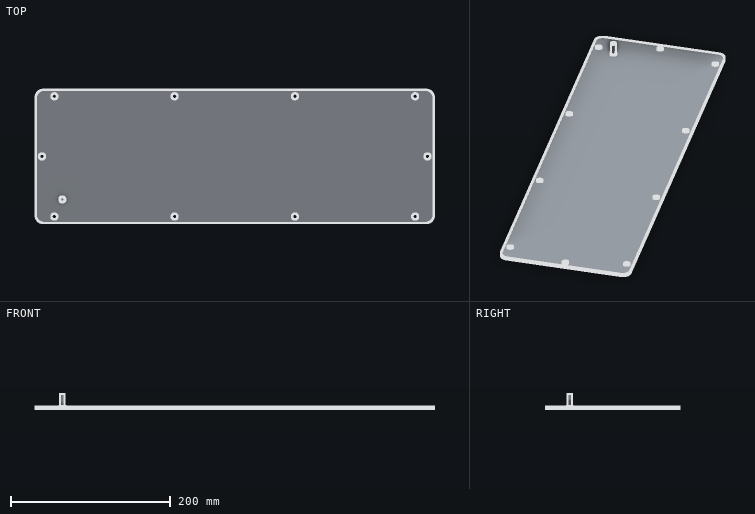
import cadquery as cq

length = 498.0
width = 167.0
total_height = 19.0

plate_thickness = 3.0
corner_radius = 10.0

hole_diameter = 7.0
hole_pitch = 150.5
holes_per_side = 4
end_hole_inset = 8.0

stud_x = -215.5
stud_y = -54.0
stud_diameter = 6.0
flange_diameter = 7.5
flange_height = 1.0
stud_height = total_height - plate_thickness


def hole_positions():
    """Two long rows of evenly spaced holes, plus one hole at the middle of each end."""
    first_x = -hole_pitch * (holes_per_side - 1) / 2
    row_y = hole_pitch / 2
    end_x = length / 2 - end_hole_inset
    points = [(-end_x, 0), (end_x, 0)]
    for index in range(holes_per_side):
        x = first_x + index * hole_pitch
        points += [(x, -row_y), (x, row_y)]
    return points


def make_plate():
    """Flat plate with rounded corners and through holes."""
    blank = cq.Workplane("XY").box(length, width, plate_thickness, centered=(True, True, False))
    rounded = blank.edges("|Z").fillet(corner_radius)
    return rounded.faces(">Z").workplane().pushPoints(hole_positions()).hole(hole_diameter)


def make_stud():
    """Upright plain pin with a flanged foot."""
    base = cq.Workplane("XY", origin=(stud_x, stud_y, plate_thickness))
    pin = base.circle(stud_diameter / 2).extrude(stud_height)
    flange = base.circle(flange_diameter / 2).extrude(flange_height)
    return pin.union(flange)


result = make_plate().union(make_stud())